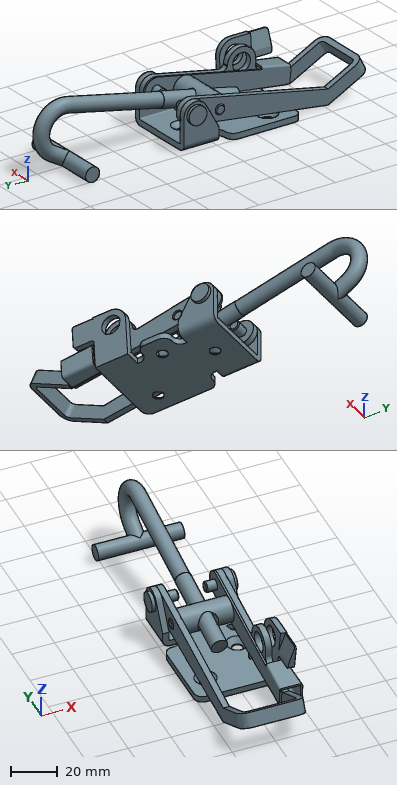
import cadquery as cq
import math


SHEET = 3.0
ARM_OUTER_X = 15.3
ARM_INNER_X = ARM_OUTER_X - SHEET

RIVET_Z = 16.5
RIVET_RADIUS = 2.5
RIVET_HEAD_RADIUS = 4.6
RIVET_HEAD_HEIGHT = 1.6
RIVET_END_X = 6.5
RIVET_END_CHAMFER = 0.5

EYE_ROUND = 6.1
WALL_OUTER_X = ARM_OUTER_X + SHEET
WALL_FRONT_Y = -12.2
WALL_SHOULDER_Z = 7.4
BEND_OUTER = 3.5
BEND_INNER = BEND_OUTER - SHEET

BASE_FRONT_Y = -54.1
STRIP_HALF_WIDTH = 11.5
WING_X = 20.0
WING_ROOT_X = 15.5
WING_REAR_Y = -17.0
RIGHT_WING_FRONT_Y = -32.5
WING_CORNER = 4.1
WING_ROOT_ROUND = WING_ROOT_X - STRIP_HALF_WIDTH

SCREW_POINTS = [(0, -5.5), (10.9, -25.2), (-11.2, -42.1)]
SCREW_HOLE_RADIUS = 2.5
SCREW_HEAD_RADIUS = 5.0
SCREW_CONE_DEPTH = SCREW_HEAD_RADIUS - SCREW_HOLE_RADIUS

LUG_Y = -45.1
LUG_HOLE_RADIUS = 4.6
LUG_LEAN = 5.0
BASE_LUG_FOOT_X = 16.3
BASE_LUG_ROUND = 7.5
BASE_LUG_HOLE_HEIGHT = 19.0
BASE_LUG_TOP = BASE_LUG_HOLE_HEIGHT + BASE_LUG_ROUND
TAB_FRONT_Y = -64.7
TAB_BOTTOM = 14.8
TAB_TOP = 26.0
TAB_CORNER = 1.3
TAB_BEVEL_START = 17.8
TAB_TIP = 0.7
ARM_LUG_ROUND = 7.4
ARM_LUG_Z = 17.3
ARM_LUG_FILLET = 2.6

KNEE_Y = -71.0
KNEE_TOP_Z = 8.4
KNEE_BOTTOM_Z = 0.8
HANDLE_ANGLE = math.radians(27.2)
HANDLE_END_Y = -92.7
HANDLE_BEND_OUTER = 5.0
HANDLE_BEND_INNER = HANDLE_BEND_OUTER - SHEET

CATCH_SHEET = 1.0
CATCH_INNER_X = ARM_INNER_X - CATCH_SHEET
CATCH_TOP_GAP = 0.3
CATCH_BOTTOM_GAP = 0.5
CATCH_REAR_Y = -55.1
CATCH_FRONT_Y = -70.3
CATCH_END_SLANT = 0.8
CATCH_BOTTOM_REAR_Y = CATCH_REAR_Y + CATCH_END_SLANT
CATCH_BOTTOM_FRONT_Y = CATCH_FRONT_Y + CATCH_END_SLANT
CATCH_REAR_X = 20.5
CATCH_FRONT_X = 22.2
CATCH_LIP_X = 14.2
CATCH_BEND_OUTER = 1.6
CATCH_BEND_INNER = CATCH_BEND_OUTER - CATCH_SHEET

BARREL_Y = -14.6
BARREL_Z = 13.8
BARREL_RADIUS = 6.0
BARREL_X = (CATCH_INNER_X - ARM_INNER_X) / 2
BARREL_LENGTH = CATCH_INNER_X + ARM_INNER_X
PIN_RADIUS = 2.5
PIN_LENGTH = 2 * ARM_OUTER_X
PIN_CHAMFER = 0.5
ROD_HOLE_RADIUS = 4.8
ROD_HOLE_ANGLE = math.radians(2.0)

ROD_RADIUS = 3.6
STUD_RADIUS = 3.8
STUD_REAR = 22.0
ROD_ANGLE = math.radians(12.2)
ROD_FRONT = 18.5
ROD_X = -0.7
HOOK_REAR_Y = 72.0
HOOK_BEND_RADIUS = 11.4
HOOK_END_ANGLE = math.radians(-60)
HOOK_TAIL = 8.2
T_BAR_LENGTH = 40.2

FAR = 98.7


def tangent_point(point, radius, side):
    """Where the line from `point` touches the circle about the rivet axis."""
    dy, dz = point[0], point[1] - RIVET_Z
    angle = math.atan2(dz, dy) + side * math.acos(radius / math.hypot(dy, dz))
    return radius * math.cos(angle), RIVET_Z + radius * math.sin(angle)


def cylinder_x(radius, x_start, x_end, y, z):
    return (
        cq.Workplane("YZ", origin=(x_start, 0, 0))
        .center(y, z)
        .circle(radius)
        .extrude(x_end - x_start)
    )


def block(x0, x1, y0, y1, z0, z1):
    return cq.Workplane("XY").box(x1 - x0, y1 - y0, z1 - z0, centered=False).translate((x0, y0, z0))


KNEE_TOP = (KNEE_Y, KNEE_TOP_Z)
KNEE_BOTTOM = (KNEE_Y, KNEE_BOTTOM_Z)
ARM_TOP_START = tangent_point(KNEE_TOP, EYE_ROUND, -1)
ARM_BOTTOM_START = tangent_point(KNEE_BOTTOM, EYE_ROUND, 1)


def on_line(start, end, y):
    """Point at `y` on the straight line from `start` to `end`."""
    return y, start[1] + (end[1] - start[1]) * (y - start[0]) / (end[0] - start[0])


def arm_top(y):
    return on_line(ARM_TOP_START, KNEE_TOP, y)


def arm_bottom(y):
    return on_line(ARM_BOTTOM_START, KNEE_BOTTOM, y)


def base_wall(side):
    """Upright wall that carries a rivet, bent up from the plate."""
    shoulder = (WALL_FRONT_Y, WALL_SHOULDER_Z)
    slope_end = tangent_point(shoulder, EYE_ROUND, -1)
    outline = (
        cq.Workplane("YZ", origin=(-WALL_OUTER_X, 0, 0))
        .moveTo(EYE_ROUND, 0)
        .lineTo(WALL_FRONT_Y, 0)
        .lineTo(*shoulder)
        .lineTo(*slope_end)
        .threePointArc((0, RIVET_Z + EYE_ROUND), (EYE_ROUND, RIVET_Z))
        .close()
        .extrude(2 * WALL_OUTER_X)
    )
    outline = outline.edges("|Y and <Z").fillet(BEND_OUTER)
    channel = block(-ARM_OUTER_X, ARM_OUTER_X, -FAR, FAR, SHEET, FAR)
    channel = channel.edges("|Y and <Z").fillet(BEND_INNER)
    one_side = block(STRIP_HALF_WIDTH, FAR, -FAR, FAR, 0, FAR)
    wall = outline.cut(channel).intersect(one_side)
    return wall if side > 0 else wall.mirror("YZ")


def wing_rear_path(sketch):
    """Rear edge of a right-hand wing, from the strip out to the side."""
    return (
        sketch.moveTo(STRIP_HALF_WIDTH, WING_REAR_Y + WING_ROOT_ROUND)
        .radiusArc((WING_ROOT_X, WING_REAR_Y), -WING_ROOT_ROUND)
        .lineTo(WING_X - WING_CORNER, WING_REAR_Y)
        .radiusArc((WING_X, WING_REAR_Y - WING_CORNER), WING_CORNER)
    )


def right_wing():
    return (
        wing_rear_path(cq.Workplane("XY"))
        .lineTo(WING_X, RIGHT_WING_FRONT_Y + WING_CORNER)
        .radiusArc((WING_X - WING_CORNER, RIGHT_WING_FRONT_Y), WING_CORNER)
        .lineTo(WING_ROOT_X, RIGHT_WING_FRONT_Y)
        .radiusArc((STRIP_HALF_WIDTH, RIGHT_WING_FRONT_Y - WING_ROOT_ROUND), -WING_ROOT_ROUND)
        .close()
        .extrude(SHEET)
    )


def left_wing():
    wing = (
        wing_rear_path(cq.Workplane("XY"))
        .lineTo(WING_X, BASE_FRONT_Y + WING_CORNER)
        .radiusArc((WING_X - WING_CORNER, BASE_FRONT_Y), WING_CORNER)
        .lineTo(STRIP_HALF_WIDTH, BASE_FRONT_Y)
        .close()
        .extrude(SHEET)
    )
    return wing.mirror("YZ")


def base_lug():
    """Leaning padlock lug with a bevelled finger tab, bent up from the right edge."""
    lean = math.radians(LUG_LEAN)
    rear_y = LUG_Y + BASE_LUG_ROUND
    plane = cq.Plane(
        origin=(BASE_LUG_FOOT_X, 0, 0),
        xDir=(0, 1, 0),
        normal=(math.cos(lean), 0, -math.sin(lean)),
    )
    lug = (
        cq.Workplane(plane)
        .moveTo(rear_y, 0)
        .lineTo(rear_y, BASE_LUG_HOLE_HEIGHT)
        .radiusArc((LUG_Y, BASE_LUG_TOP), -BASE_LUG_ROUND)
        .lineTo(BASE_FRONT_Y, BASE_LUG_TOP)
        .lineTo(BASE_FRONT_Y, 0)
        .close()
        .extrude(SHEET)
    )
    tab = (
        cq.Workplane(plane)
        .moveTo(BASE_FRONT_Y, TAB_TOP)
        .lineTo(TAB_FRONT_Y + TAB_CORNER, TAB_TOP)
        .radiusArc((TAB_FRONT_Y, TAB_TOP - TAB_CORNER), -TAB_CORNER)
        .lineTo(TAB_FRONT_Y, TAB_BOTTOM + TAB_CORNER)
        .radiusArc((TAB_FRONT_Y + TAB_CORNER, TAB_BOTTOM), -TAB_CORNER)
        .lineTo(BASE_FRONT_Y - TAB_CORNER, TAB_BOTTOM)
        .radiusArc((BASE_FRONT_Y, TAB_BOTTOM - TAB_CORNER), TAB_CORNER)
        .close()
        .extrude(SHEET)
    )
    bevel_plane = cq.Plane(
        origin=plane.toWorldCoords((BASE_FRONT_Y, 0, 0)).toTuple(),
        xDir=plane.zDir.toTuple(),
        normal=(0, -1, 0),
    )
    bevel = (
        cq.Workplane(bevel_plane)
        .polyline([(0, TAB_BEVEL_START), (SHEET - TAB_TIP, TAB_TOP), (0, TAB_TOP)])
        .close()
        .extrude(BASE_FRONT_Y - TAB_FRONT_Y)
    )
    hole = (
        cq.Workplane(plane)
        .center(LUG_Y, BASE_LUG_HOLE_HEIGHT)
        .circle(LUG_HOLE_RADIUS)
        .extrude(SHEET)
    )
    foot = block(STRIP_HALF_WIDTH, BASE_LUG_FOOT_X + SHEET, BASE_FRONT_Y, rear_y, 0, SHEET)
    lug = lug.union(tab.cut(bevel)).cut(hole).union(foot)
    lug = lug.cut(block(-FAR, FAR, -FAR, FAR, -FAR, 0))
    return lug


def screw_holes():
    holes = cq.Workplane("XY").pushPoints(SCREW_POINTS).circle(SCREW_HOLE_RADIUS).extrude(SHEET)
    for x, y in SCREW_POINTS:
        cone = cq.Solid.makeCone(
            SCREW_HOLE_RADIUS,
            SCREW_HEAD_RADIUS,
            SCREW_CONE_DEPTH,
            pnt=cq.Vector(x, y, SHEET - SCREW_CONE_DEPTH),
        )
        holes = holes.union(cq.Workplane(cone))
    return holes


def make_base():
    base = block(-STRIP_HALF_WIDTH, STRIP_HALF_WIDTH, BASE_FRONT_Y, EYE_ROUND, 0, SHEET)
    for side in (-1, 1):
        base = base.union(base_wall(side))
    base = base.union(left_wing()).union(right_wing()).union(base_lug())
    rivet_holes = cylinder_x(RIVET_RADIUS, -WALL_OUTER_X, WALL_OUTER_X, 0, RIVET_Z)
    return base.cut(screw_holes()).cut(rivet_holes)


HANDLE_DIRECTION = (-math.cos(HANDLE_ANGLE), math.sin(HANDLE_ANGLE))
HANDLE_NORMAL = (math.sin(HANDLE_ANGLE), math.cos(HANDLE_ANGLE))
HANDLE_BOTTOM_LENGTH = (HANDLE_END_Y - KNEE_Y) / HANDLE_DIRECTION[0]
HANDLE_TOP_LENGTH = HANDLE_BOTTOM_LENGTH - (KNEE_TOP_Z - KNEE_BOTTOM_Z) * HANDLE_DIRECTION[1]
ACROSS_HANDLE = cq.selectors.ParallelDirSelector(cq.Vector(0, *HANDLE_NORMAL))


def along_handle(start, distance):
    return tuple(p + distance * d for p, d in zip(start, HANDLE_DIRECTION))


def lever_blank():
    """Side outline of the lever over its whole width, with the U corners rounded."""
    blank = (
        cq.Workplane("YZ", origin=(-ARM_OUTER_X, 0, 0))
        .moveTo(*ARM_TOP_START)
        .lineTo(*KNEE_TOP)
        .lineTo(*along_handle(KNEE_TOP, HANDLE_TOP_LENGTH))
        .lineTo(*along_handle(KNEE_BOTTOM, HANDLE_BOTTOM_LENGTH))
        .lineTo(*KNEE_BOTTOM)
        .lineTo(*ARM_BOTTOM_START)
        .threePointArc((EYE_ROUND, RIVET_Z), ARM_TOP_START)
        .close()
        .extrude(2 * ARM_OUTER_X)
    )
    return blank.edges(ACROSS_HANDLE).fillet(HANDLE_BEND_OUTER)


def lever_inside():
    """Space between the two arms, ending one sheet short of the handle's end face."""
    end_middle = along_handle(KNEE_TOP, HANDLE_TOP_LENGTH - SHEET)
    above = tuple(p + FAR * n for p, n in zip(end_middle, HANDLE_NORMAL))
    below = tuple(p - FAR * n for p, n in zip(end_middle, HANDLE_NORMAL))
    space = (
        cq.Workplane("YZ", origin=(-ARM_INNER_X, 0, 0))
        .polyline([above, below, (FAR, below[1]), (FAR, above[1])])
        .close()
        .extrude(2 * ARM_INNER_X)
    )
    return space.edges(ACROSS_HANDLE).fillet(HANDLE_BEND_INNER)


def arm_lug():
    """Padlock lug standing on the right arm, with filleted feet."""
    rear_y = LUG_Y + ARM_LUG_ROUND
    front_y = LUG_Y - ARM_LUG_ROUND
    rear_foot = arm_top(rear_y + ARM_LUG_FILLET)
    front_foot = arm_top(front_y - ARM_LUG_FILLET)
    rear_tangent_z = arm_top(rear_y)[1] + ARM_LUG_FILLET
    front_tangent_z = arm_top(front_y)[1] + ARM_LUG_FILLET
    return (
        cq.Workplane("YZ", origin=(ARM_INNER_X, 0, 0))
        .moveTo(*arm_bottom(front_y))
        .lineTo(*front_foot)
        .radiusArc((front_y, front_tangent_z), -ARM_LUG_FILLET)
        .lineTo(front_y, ARM_LUG_Z)
        .threePointArc((LUG_Y, ARM_LUG_Z + ARM_LUG_ROUND), (rear_y, ARM_LUG_Z))
        .lineTo(rear_y, rear_tangent_z)
        .radiusArc(rear_foot, -ARM_LUG_FILLET)
        .lineTo(*arm_bottom(rear_y))
        .close()
        .extrude(SHEET)
    )


def make_lever():
    lever = lever_blank().cut(lever_inside()).union(arm_lug())
    lug_hole = cylinder_x(LUG_HOLE_RADIUS, ARM_INNER_X, ARM_OUTER_X, LUG_Y, ARM_LUG_Z)
    rivet_holes = cylinder_x(RIVET_RADIUS, -ARM_OUTER_X, ARM_OUTER_X, 0, RIVET_Z)
    pin_holes = cylinder_x(PIN_RADIUS, -ARM_OUTER_X, ARM_OUTER_X, BARREL_Y, BARREL_Z)
    return lever.cut(lug_hole).cut(rivet_holes).cut(pin_holes)


def catch_plate():
    """Thin plate lying against the inside of the right arm."""
    return (
        cq.Workplane("YZ", origin=(CATCH_INNER_X, 0, 0))
        .moveTo(*ARM_TOP_START)
        .lineTo(*arm_top(CATCH_FRONT_Y))
        .lineTo(*arm_bottom(CATCH_BOTTOM_FRONT_Y))
        .lineTo(*ARM_BOTTOM_START)
        .threePointArc((EYE_ROUND, RIVET_Z), ARM_TOP_START)
        .close()
        .extrude(CATCH_SHEET)
    )


def catch_block(inner_x, skin):
    """Block round the arm that follows its taper and widens in X towards the front.

    `skin` is how much of the sheet it takes in: all for the box, none for its cavity.
    """
    wall_inset = CATCH_SHEET - skin
    plan = (
        cq.Workplane("XY", origin=(0, 0, -FAR))
        .polyline(
            [
                (inner_x, CATCH_BOTTOM_REAR_Y),
                (CATCH_REAR_X - wall_inset, CATCH_BOTTOM_REAR_Y),
                (CATCH_FRONT_X - wall_inset, CATCH_FRONT_Y),
                (inner_x, CATCH_FRONT_Y),
            ]
        )
        .close()
        .extrude(2 * FAR)
    )
    ends = (CATCH_BOTTOM_REAR_Y, CATCH_FRONT_Y)
    top = [(y, arm_top(y)[1] + CATCH_TOP_GAP + skin) for y in ends]
    bottom = [(y, arm_bottom(y)[1] - CATCH_BOTTOM_GAP - skin) for y in reversed(ends)]
    side = cq.Workplane("YZ").polyline(top + bottom).close().extrude(FAR)
    return plan.intersect(side)


def catch_slab():
    """Space between the slanted end planes of the box."""
    top_z = arm_top(CATCH_REAR_Y)[1] + CATCH_TOP_GAP + CATCH_SHEET
    bottom_z = arm_bottom(CATCH_FRONT_Y)[1] - CATCH_BOTTOM_GAP - CATCH_SHEET
    return (
        cq.Workplane("YZ")
        .moveTo(CATCH_REAR_Y, top_z)
        .lineTo(CATCH_FRONT_Y, top_z)
        .lineTo(CATCH_BOTTOM_FRONT_Y, bottom_z)
        .lineTo(CATCH_BOTTOM_REAR_Y, bottom_z)
        .close()
        .extrude(FAR)
    )


def make_catch():
    box = catch_block(CATCH_INNER_X, CATCH_SHEET)
    box = box.faces(">X").edges("not |Z").fillet(CATCH_BEND_OUTER)
    box = box.faces("<X").edges(">Z").fillet(CATCH_SHEET)
    cavity = catch_block(ARM_INNER_X, 0)
    cavity = cavity.faces(">X").edges("not |Z").fillet(CATCH_BEND_INNER)
    slit = (
        cq.Workplane("YZ")
        .moveTo(*arm_bottom(CATCH_BOTTOM_REAR_Y))
        .lineTo(*arm_bottom(CATCH_FRONT_Y))
        .lineTo(CATCH_FRONT_Y, -FAR)
        .lineTo(CATCH_BOTTOM_REAR_Y, -FAR)
        .close()
        .extrude(CATCH_LIP_X)
    )
    box = box.cut(cavity).cut(slit).intersect(catch_slab())
    catch = box.union(catch_plate())
    rivet_hole = cylinder_x(RIVET_RADIUS, CATCH_INNER_X, ARM_INNER_X, 0, RIVET_Z)
    pin_hole = cylinder_x(PIN_RADIUS, CATCH_INNER_X, ARM_INNER_X, BARREL_Y, BARREL_Z)
    return catch.cut(rivet_hole).cut(pin_hole)


def make_rivet(side):
    shank = cylinder_x(RIVET_RADIUS, RIVET_END_X, WALL_OUTER_X, 0, RIVET_Z)
    head = cylinder_x(RIVET_HEAD_RADIUS, WALL_OUTER_X, WALL_OUTER_X + RIVET_HEAD_HEIGHT, 0, RIVET_Z)
    rivet = shank.faces("<X").chamfer(RIVET_END_CHAMFER).union(head)
    return rivet if side > 0 else rivet.mirror("YZ")


ROD_DIRECTION = (math.cos(ROD_ANGLE), math.sin(ROD_ANGLE))


def along_rod(distance):
    return BARREL_Y + distance * ROD_DIRECTION[0], BARREL_Z + distance * ROD_DIRECTION[1]


BEND_START_ANGLE = ROD_ANGLE + math.pi / 2
BEND_CENTRE_Y = HOOK_REAR_Y - ROD_RADIUS - HOOK_BEND_RADIUS
BEND_START_Y = BEND_CENTRE_Y + HOOK_BEND_RADIUS * math.cos(BEND_START_ANGLE)
BEND_START = along_rod((BEND_START_Y - BARREL_Y) / ROD_DIRECTION[0])
BEND_CENTRE = (
    BEND_CENTRE_Y,
    BEND_START[1] - HOOK_BEND_RADIUS * math.sin(BEND_START_ANGLE),
)


def on_bend(angle):
    return (
        BEND_CENTRE[0] + HOOK_BEND_RADIUS * math.cos(angle),
        BEND_CENTRE[1] + HOOK_BEND_RADIUS * math.sin(angle),
    )


BEND_END = on_bend(HOOK_END_ANGLE)
T_BAR_CENTRE = (
    BEND_END[0] + HOOK_TAIL * math.sin(HOOK_END_ANGLE),
    BEND_END[1] - HOOK_TAIL * math.cos(HOOK_END_ANGLE),
)
ROD_PLANE = cq.Plane(
    origin=(ROD_X, *along_rod(-ROD_FRONT)), xDir=(1, 0, 0), normal=(0, *ROD_DIRECTION)
)


def make_barrel():
    """Cross barrel with a pin at each end and a clearance hole across it for the rod."""
    half_length = BARREL_LENGTH / 2
    half_pin = PIN_LENGTH / 2
    barrel = cylinder_x(BARREL_RADIUS, BARREL_X - half_length, BARREL_X + half_length, BARREL_Y, BARREL_Z)
    pin = cylinder_x(PIN_RADIUS, BARREL_X - half_pin, BARREL_X + half_pin, BARREL_Y, BARREL_Z)
    barrel = barrel.union(pin.faces("<X or >X").chamfer(PIN_CHAMFER))
    hole_plane = cq.Plane(
        origin=(ROD_X, BARREL_Y, BARREL_Z),
        xDir=(1, 0, 0),
        normal=(0, math.cos(ROD_HOLE_ANGLE), math.sin(ROD_HOLE_ANGLE)),
    )
    rod_hole = cq.Workplane(hole_plane).circle(ROD_HOLE_RADIUS).extrude(FAR, both=True)
    return barrel.cut(rod_hole)


def make_t_bar():
    half = T_BAR_LENGTH / 2
    return cylinder_x(ROD_RADIUS, ROD_X - half, ROD_X + half, *T_BAR_CENTRE)


def make_hook():
    """Round rod, slightly thicker in front, bent into a hook whose tail is saddled onto the T-bar."""
    path = (
        cq.Workplane("YZ", origin=(ROD_X, 0, 0))
        .moveTo(*along_rod(-ROD_FRONT))
        .lineTo(*BEND_START)
        .threePointArc(on_bend((BEND_START_ANGLE + HOOK_END_ANGLE) / 2), BEND_END)
        .lineTo(*T_BAR_CENTRE)
    )
    rod = cq.Workplane(ROD_PLANE).circle(ROD_RADIUS).sweep(path)
    stud = cq.Workplane(ROD_PLANE).circle(STUD_RADIUS).extrude(ROD_FRONT + STUD_REAR)
    return rod.union(stud).cut(make_t_bar())


base = make_base()
lever = make_lever()
catch = make_catch()
rivets = [make_rivet(side) for side in (-1, 1)]
barrel = make_barrel()
hook = make_hook()
t_bar = make_t_bar()

result = cq.Compound.makeCompound(
    [
        base.val(),
        lever.val(),
        catch.val(),
        *[rivet.val() for rivet in rivets],
        barrel.val(),
        hook.val(),
        t_bar.val(),
    ]
)